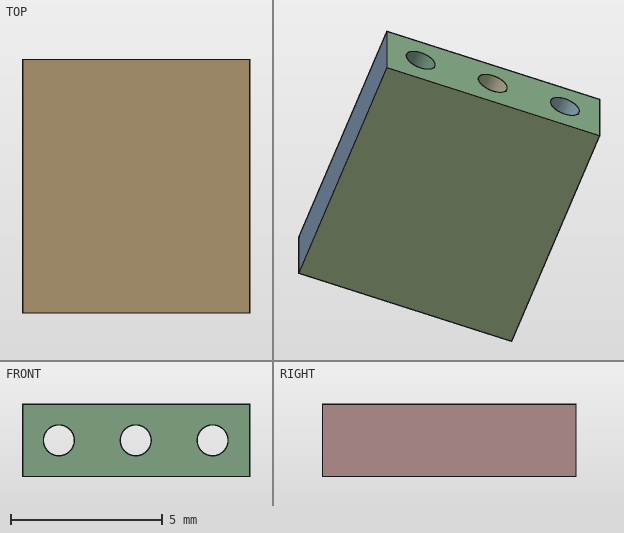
import cadquery as cq

width = 7.52
length = 8.4
height = 2.4

hole_diameter = 1.02
hole_pitch = 2.545
hole_count = 3
row_offset = -0.02

block = cq.Workplane("XY").box(width, length, height)

result = (
    block.faces("<Y")
    .workplane(centerOption="CenterOfBoundBox")
    .center(row_offset, 0)
    .rarray(hole_pitch, hole_pitch, hole_count, 1)
    .hole(hole_diameter)
)